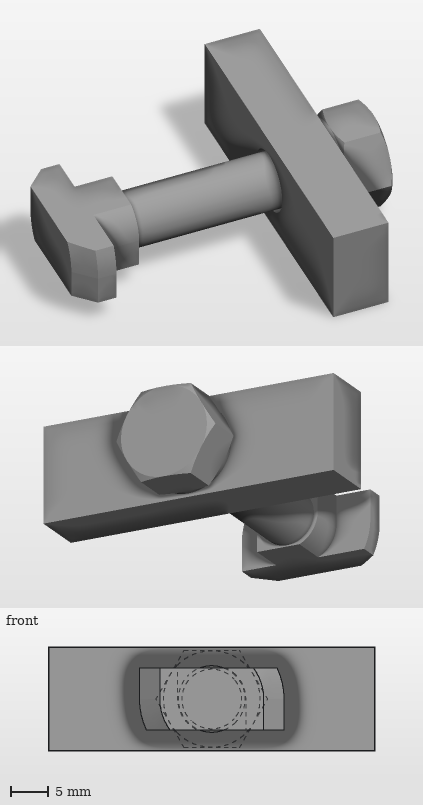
import cadquery as cq
import math

total_length = 47.3

head_half_length = 9.75
head_height = 8.4
head_depth = 5.45
head_chamfer = 2.75
neck_radius = 4.6
neck_end = 10.95

stud_radius = 4.0

plate_length = 44.0
plate_height = 14.0
plate_thickness = 8.1
plate_start = 31.97
plate_hole_radius = 4.5

nut_across_flats = 13.0
collar_thickness = 0.75
nut_chamfer_angle = 30.0

plate_end = plate_start + plate_thickness
nut_start = plate_end + collar_thickness
nut_height = total_length - nut_start


def plane_at(y):
    """Sketch plane across the bolt axis: local x is X, local y is Z, extruding toward +Y."""
    return cq.Workplane(cq.Plane(origin=(0, y, 0), xDir=(1, 0, 0), normal=(0, -1, 0)))


def cylinder(radius, start, end):
    return plane_at(start).circle(radius).extrude(start - end)


def block(length, height, start, end):
    return plane_at(start).rect(length, height).extrude(start - end)


def half_turn_bar(radius, start, end):
    """Bar of head height whose ends have one square and one rounded corner, to turn in a slot."""
    half_height = head_height / 2
    arc_x = math.sqrt(radius**2 - half_height**2)
    half_angle = math.asin(half_height / radius) / 2
    mid_x = radius * math.cos(half_angle)
    mid_z = radius * math.sin(half_angle)
    return (
        plane_at(start)
        .moveTo(-radius, half_height)
        .lineTo(arc_x, half_height)
        .threePointArc((mid_x, mid_z), (radius, 0))
        .lineTo(radius, -half_height)
        .lineTo(-arc_x, -half_height)
        .threePointArc((-mid_x, -mid_z), (-radius, 0))
        .close()
        .extrude(start - end)
    )


def make_head():
    """T-head with 45 degree tip chamfers, flat on the square ends and conical on the rounded ones."""
    bar = half_turn_bar(head_half_length, 0, head_depth)
    end_edges = bar.faces("<Y").edges("not |X")
    return end_edges.chamfer(head_chamfer)


def make_plate():
    plate = block(plate_length, plate_height, plate_start, plate_end)
    return plate.cut(cylinder(plate_hole_radius, plate_start, plate_end))


def make_nut():
    """Hexagon with corners on the X axis, its corners turned off conically at both ends."""
    flat_radius = nut_across_flats / 2
    corner_radius = flat_radius / math.cos(math.radians(30))
    chamfer_depth = (corner_radius - flat_radius) * math.tan(math.radians(nut_chamfer_angle))
    hexagon = plane_at(nut_start).polygon(6, 2 * corner_radius).extrude(-nut_height)
    turned_blank = (
        cylinder(corner_radius, nut_start, total_length)
        .faces("<Y or >Y")
        .chamfer(chamfer_depth, corner_radius - flat_radius)
    )
    collar = cylinder(flat_radius, plate_end, nut_start)
    return hexagon.intersect(turned_blank).union(collar)


neck = half_turn_bar(neck_radius, head_depth, neck_end)
stud = cylinder(stud_radius, neck_end, nut_start)

result = make_head().union(neck).union(stud).union(make_nut()).union(make_plate())